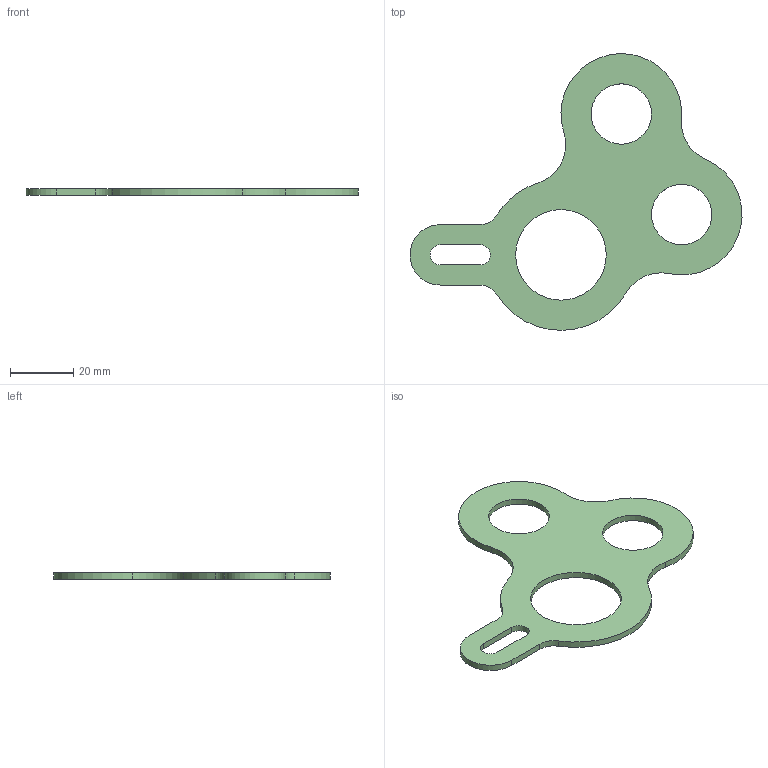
import cadquery as cq
import math

INCH = 25.4

thickness = 0.08 * INCH

main_center = (0.0, 0.0)
top_center = (0.75 * INCH, 1.75 * INCH)
side_center = (1.5 * INCH, 0.5 * INCH)
main_radius = 0.9375 * INCH
small_radius = 0.75 * INCH

main_bore_diameter = 1.125 * INCH
small_bore_diameter = 0.75 * INCH

tab_end_center = (-1.5 * INCH, 0.0)
tab_radius = 0.375 * INCH
slot_width = 0.25 * INCH
slot_travel = 0.5 * INCH

lobe_blend_radius = 0.5 * INCH
tab_blend_radius = 0.25 * INCH


def point_toward(start, target, distance):
    """Point at a distance from start, in the direction of target."""
    span = math.dist(start, target)
    return tuple(s + (t - s) * distance / span for s, t in zip(start, target))


def lobe_blend(center_a, radius_a, center_b, radius_b):
    """Start, middle and end of the concave arc to the right of the way from lobe a to lobe b."""
    span = math.dist(center_a, center_b)
    reach_a = radius_a + lobe_blend_radius
    reach_b = radius_b + lobe_blend_radius
    along = (reach_a**2 - reach_b**2 + span**2) / (2 * span)
    across = math.sqrt(reach_a**2 - along**2)
    ux = (center_b[0] - center_a[0]) / span
    uy = (center_b[1] - center_a[1]) / span
    blend_center = (
        center_a[0] + along * ux + across * uy,
        center_a[1] + along * uy - across * ux,
    )
    return blend_arc(
        blend_center,
        lobe_blend_radius,
        point_toward(center_a, blend_center, radius_a),
        point_toward(center_b, blend_center, radius_b),
    )


def blend_arc(blend_center, radius, start, end):
    """Start, middle and end of the short arc about blend_center."""
    chord_middle = ((start[0] + end[0]) / 2, (start[1] + end[1]) / 2)
    return start, point_toward(blend_center, chord_middle, radius), end


def tab_lower_blend():
    """Concave arc from the lower edge of the tab to the main lobe."""
    drop = tab_radius + tab_blend_radius
    reach = main_radius + tab_blend_radius
    blend_center = (-math.sqrt(reach**2 - drop**2), -drop)
    return blend_arc(
        blend_center,
        tab_blend_radius,
        (blend_center[0], -tab_radius),
        point_toward(main_center, blend_center, main_radius),
    )


def mirrored_back(arc):
    """The arc mirrored about the X axis and run in the opposite direction."""
    return tuple((x, -y) for x, y in reversed(arc))


def arc_middle(center, radius, start, end):
    """Middle of the counterclockwise arc from start to end about center."""
    start_angle = math.atan2(start[1] - center[1], start[0] - center[0])
    end_angle = math.atan2(end[1] - center[1], end[0] - center[0])
    middle_angle = start_angle + ((end_angle - start_angle) % math.tau) / 2
    return (
        center[0] + radius * math.cos(middle_angle),
        center[1] + radius * math.sin(middle_angle),
    )


def plate():
    """Solid plate: lobe arcs joined counterclockwise by tangent concave blends."""
    tab_to_main = tab_lower_blend()
    main_to_side = lobe_blend(main_center, main_radius, side_center, small_radius)
    side_to_top = lobe_blend(side_center, small_radius, top_center, small_radius)
    top_to_main = lobe_blend(top_center, small_radius, main_center, main_radius)
    main_to_tab = mirrored_back(tab_to_main)

    stretches = [
        (tab_to_main, main_center, main_radius, main_to_side),
        (main_to_side, side_center, small_radius, side_to_top),
        (side_to_top, top_center, small_radius, top_to_main),
        (top_to_main, main_center, main_radius, main_to_tab),
    ]
    outline = cq.Workplane("XY").moveTo(*tab_to_main[0])
    for (_, blend_middle, lobe_start), center, radius, next_blend in stretches:
        lobe_end = next_blend[0]
        outline = outline.threePointArc(blend_middle, lobe_start)
        outline = outline.threePointArc(arc_middle(center, radius, lobe_start, lobe_end), lobe_end)

    _, blend_middle, tab_start = main_to_tab
    tab_tip = (tab_end_center[0] - tab_radius, 0)
    outline = (
        outline.threePointArc(blend_middle, tab_start)
        .lineTo(tab_end_center[0], tab_radius)
        .threePointArc(tab_tip, (tab_end_center[0], -tab_radius))
        .close()
    )
    return outline.extrude(thickness)


def bore(center, diameter):
    """Cutter for a round through hole."""
    return cq.Workplane("XY").center(*center).circle(diameter / 2).extrude(thickness)


def slot():
    """Cutter for the round-ended slot in the tab."""
    slot_x = tab_end_center[0] + slot_travel / 2
    return cq.Workplane("XY").center(slot_x, 0).slot2D(slot_travel + slot_width, slot_width).extrude(thickness)


result = (
    plate()
    .cut(bore(main_center, main_bore_diameter))
    .cut(bore(top_center, small_bore_diameter))
    .cut(bore(side_center, small_bore_diameter))
    .cut(slot())
)